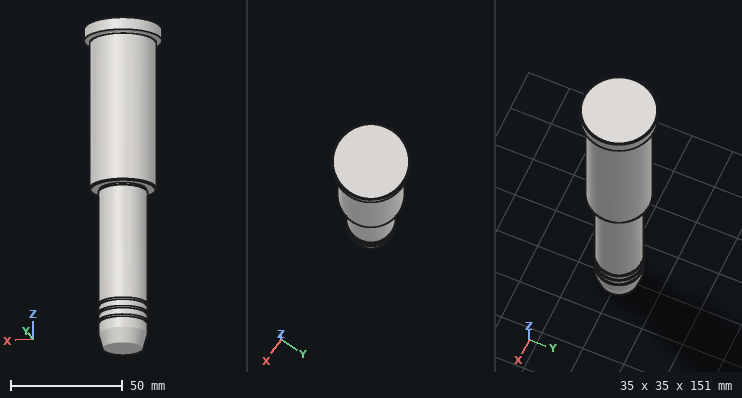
import cadquery as cq
import math

total_length = 151.0
head_length = 6.0
sleeve_length = 70.0

head_radius = 35.0 / 2
sleeve_radius = 30.0 / 2
pin_radius = 22.0 / 2

head_chamfer = 0.5
sleeve_chamfer = 0.55
tip_fillet = 0.5

head_relief_radius = 0.5
sleeve_relief_width = 1.0
sleeve_relief_depth = 0.5

taper_length = 7.0
taper_angle = 15.0

groove_count = 3
groove_pitch = 4.0
groove_radius = 0.5
lowest_groove_bottom = 12.0

head_bottom = total_length - head_length
sleeve_bottom = head_bottom - sleeve_length
tip_radius = pin_radius - taper_length * math.tan(math.radians(taper_angle))


def turned_body():
    """Head, sleeve and tapered pin revolved from one half profile on the -X side."""
    profile = (
        cq.Workplane("XZ")
        .moveTo(0, 0)
        .lineTo(-tip_radius, 0)
        .lineTo(-pin_radius, taper_length)
        .lineTo(-pin_radius, sleeve_bottom)
        .lineTo(-(sleeve_radius - sleeve_chamfer), sleeve_bottom)
        .lineTo(-sleeve_radius, sleeve_bottom + sleeve_chamfer)
        .lineTo(-sleeve_radius, head_bottom)
        .lineTo(-head_radius, head_bottom)
        .lineTo(-head_radius, total_length)
        .lineTo(0, total_length)
        .close()
    )
    body = profile.revolve(360, (0, 0, 0), (0, 1, 0))
    body = body.faces(">Z").edges().chamfer(head_chamfer)
    return body.faces("<Z").edges().fillet(tip_fillet)


def round_groove(surface_radius, centre_height, radius):
    """Ring cutter of circular section, centred on a cylinder surface."""
    section = cq.Workplane("XZ").center(-surface_radius, centre_height).circle(radius)
    return section.revolve(360, (surface_radius, 0, 0), (surface_radius, 1, 0))


def square_groove(surface_radius, bottom, width, depth):
    """Ring cutter that removes a band of the given depth below a cylinder surface."""
    band = cq.Workplane("XY").workplane(offset=bottom)
    return band.circle(surface_radius).circle(surface_radius - depth).extrude(width)


def cut_shoulder_reliefs(body):
    """Relief grooves directly below the head and below the sleeve."""
    head_relief = round_groove(sleeve_radius, head_bottom - head_relief_radius, head_relief_radius)
    sleeve_relief = square_groove(
        pin_radius, sleeve_bottom - sleeve_relief_width, sleeve_relief_width, sleeve_relief_depth
    )
    return body.cut(head_relief).cut(sleeve_relief)


def cut_tip_grooves(body):
    """Evenly spaced grooves above the tapered tip."""
    for index in range(groove_count):
        centre_height = lowest_groove_bottom + groove_radius + index * groove_pitch
        body = body.cut(round_groove(pin_radius, centre_height, groove_radius))
    return body


body = turned_body()
body = cut_shoulder_reliefs(body)
result = cut_tip_grooves(body).solids()